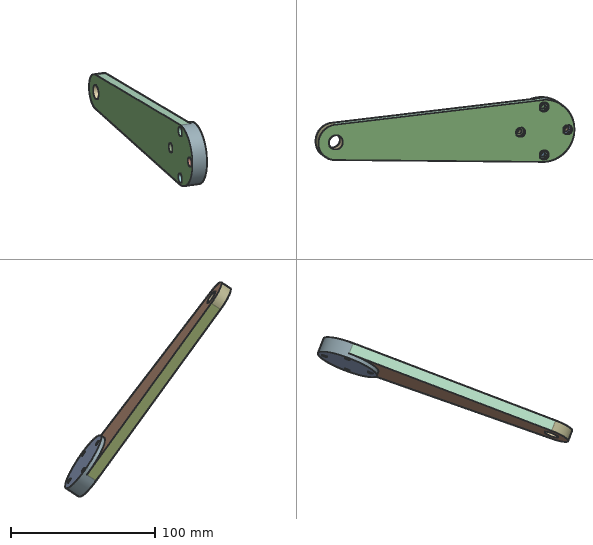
import cadquery as cq

length = 184.5
hub_radius = 22.0
tip_radius = 12.5
arm_thickness = 8.0
pad_thickness = 3.1
pivot_diameter = 10.0
bolt_circle_radius = 17.0
bolt_diameter = 3.7
counterbore_diameter = 6.6
counterbore_depth = 4.0
bolt_count = 4

hub_x = length - hub_radius - tip_radius
total_thickness = arm_thickness + pad_thickness


def make_arm():
    """Tapered plate with a half-round at each end, its front face on Y = 0."""
    return (
        cq.Workplane("XZ")
        .moveTo(0, tip_radius)
        .lineTo(hub_x, hub_radius)
        .threePointArc((hub_x + hub_radius, 0), (hub_x, -hub_radius))
        .lineTo(0, -tip_radius)
        .threePointArc((-tip_radius, 0), (0, tip_radius))
        .close()
        .extrude(-arm_thickness)
    )


def make_pad():
    """Round pad behind the hub, in two half arcs that meet where the arm's sides meet its hub arc."""
    return (
        cq.Workplane("XZ", origin=(hub_x, arm_thickness, 0))
        .moveTo(0, hub_radius)
        .threePointArc((hub_radius, 0), (0, -hub_radius))
        .threePointArc((-hub_radius, 0), (0, hub_radius))
        .close()
        .extrude(-pad_thickness)
    )


body = make_arm().union(make_pad(), clean=True)

pivot_hole = cq.Workplane("XZ").circle(pivot_diameter / 2).extrude(-arm_thickness)
body = body.cut(pivot_hole)

bolt_points = (
    cq.Workplane("XZ")
    .center(hub_x, 0)
    .polarArray(bolt_circle_radius, 0, 360, bolt_count)
)
bolt_holes = bolt_points.circle(bolt_diameter / 2).extrude(-total_thickness)
counterbores = bolt_points.circle(counterbore_diameter / 2).extrude(-counterbore_depth)

result = body.cut(bolt_holes).cut(counterbores)